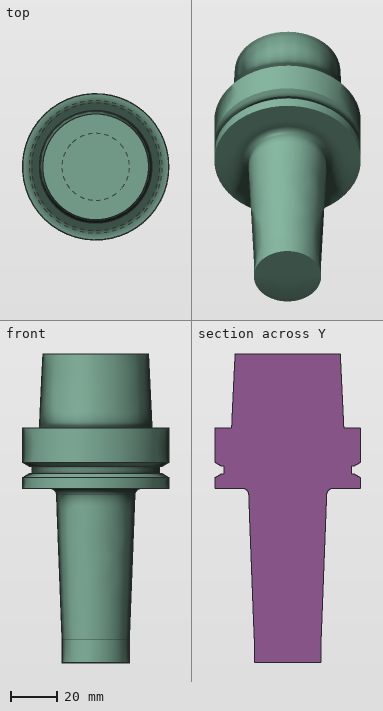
import cadquery as cq
import math

total_height = 133.0
shank_height = 31.9
flange_height = 26.1
rim_height = 4.7
groove_chamfer = 1.7
groove_floor = 3.2
nose_height = 10.0

flange_diameter = 63.0
groove_diameter = 55.0
ledge_diameter = 57.2
shank_top_diameter = 45.5
shank_base_diameter = 48.5
neck_diameter = 33.8
nose_diameter = 29.0

neck_fillet = 2.7

flange_top = total_height - shank_height
flange_bottom = flange_top - flange_height
rim_top = flange_bottom + rim_height
floor_bottom = rim_top + groove_chamfer
floor_top = floor_bottom + groove_floor
groove_top = floor_top + groove_chamfer

flange_radius = flange_diameter / 2
groove_radius = groove_diameter / 2
ledge_radius = ledge_diameter / 2
neck_radius = neck_diameter / 2
nose_radius = nose_diameter / 2
neck_top = flange_bottom - neck_fillet

arc_offset = neck_fillet * (1 - math.sqrt(0.5))
fillet_middle = (neck_radius + arc_offset, flange_bottom - arc_offset)

profile = (
    cq.Workplane("XZ")
    .moveTo(0, 0)
    .lineTo(nose_radius, 0)
    .lineTo(nose_radius, nose_height)
    .lineTo(neck_radius, neck_top)
    .threePointArc(fillet_middle, (neck_radius + neck_fillet, flange_bottom))
    .lineTo(flange_radius, flange_bottom)
    .lineTo(flange_radius, rim_top)
    .lineTo(ledge_radius, floor_bottom)
    .lineTo(groove_radius, floor_bottom)
    .lineTo(groove_radius, floor_top)
    .lineTo(ledge_radius, floor_top)
    .lineTo(flange_radius, groove_top)
    .lineTo(flange_radius, flange_top)
    .lineTo(shank_base_diameter / 2, flange_top)
    .lineTo(shank_top_diameter / 2, total_height)
    .lineTo(0, total_height)
    .close()
)

result = profile.revolve(360, (0, 0, 0), (0, 1, 0))